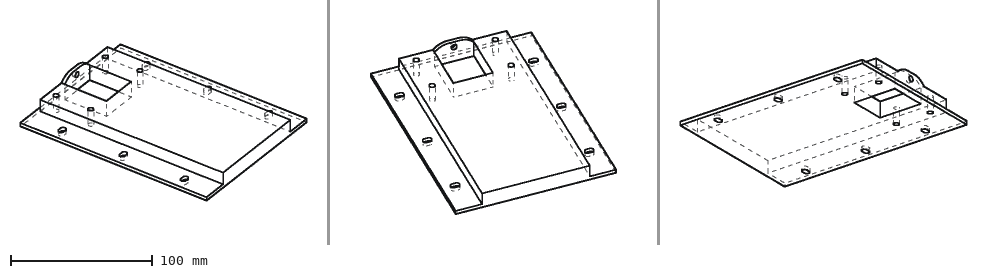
import cadquery as cq
import math

plate_length = 161.5
plate_width = 121.8
plate_thickness = 3.0

block_setback = 3.0
block_width = 81.8
block_height = 9.9
block_length = plate_length - block_setback
block_top = plate_thickness + block_height

wall_thickness = 3.0
opening_length = 36.0
opening_width = 30.0
opening_start = block_setback + wall_thickness

overall_height = 17.9
lug_height = overall_height - block_top
lug_arc_radius = 15.0

hole_diameter = 4.2
lug_hole_z = block_top
mount_hole_start = 9.0
mount_hole_pitch_x = 30.0
mount_hole_pitch_y = 60.0

slot_width = 4.2
slot_length = 6.7
slot_start = 29.25
slot_pitch_x = 53.0
slots_per_side = 3
slot_edge_distance = 10.0
slot_pitch_y = plate_width - 2 * slot_edge_distance


def box_from_left(start_x, start_z, length, width, height):
    """Box centred on Y that starts at the given X and Z."""
    return (
        cq.Workplane("XY")
        .box(length, width, height, centered=(False, True, False))
        .translate((start_x, 0, start_z))
    )


def make_lug():
    """Lug with a flat top that runs tangentially into an arc on each side."""
    half_width = opening_width / 2
    arc_run = math.sqrt(lug_arc_radius**2 - (lug_arc_radius - lug_height) ** 2)
    half_flat = half_width - arc_run
    return (
        cq.Workplane("YZ", origin=(block_setback, 0, 0))
        .moveTo(-half_width, plate_thickness)
        .lineTo(half_width, plate_thickness)
        .lineTo(half_width, block_top)
        .radiusArc((half_flat, overall_height), -lug_arc_radius)
        .lineTo(-half_flat, overall_height)
        .radiusArc((-half_width, block_top), -lug_arc_radius)
        .close()
        .extrude(wall_thickness)
    )


def make_lug_hole():
    """Cutter along X through the lug and end wall, ending in the opening."""
    return (
        cq.Workplane("YZ", origin=(block_setback, 0, 0))
        .center(0, lug_hole_z)
        .circle(hole_diameter / 2)
        .extrude(wall_thickness)
    )


def make_mount_holes():
    """Cutters for the four vertical holes around the opening."""
    pattern_center_x = mount_hole_start + mount_hole_pitch_x / 2
    return (
        cq.Workplane("XY")
        .center(pattern_center_x, 0)
        .rarray(mount_hole_pitch_x, mount_hole_pitch_y, 2, 2)
        .circle(hole_diameter / 2)
        .extrude(block_top)
    )


def make_slots():
    """Cutters for the slots in both side flanges."""
    pattern_center_x = slot_start + slot_pitch_x * (slots_per_side - 1) / 2
    return (
        cq.Workplane("XY")
        .center(pattern_center_x, 0)
        .rarray(slot_pitch_x, slot_pitch_y, slots_per_side, 2)
        .slot2D(slot_length, slot_width, 90)
        .extrude(plate_thickness)
    )


plate = box_from_left(0, 0, plate_length, plate_width, plate_thickness)
block = box_from_left(block_setback, plate_thickness, block_length, block_width, block_height)
opening = box_from_left(opening_start, 0, opening_length, opening_width, block_top)

body = plate.union(block).cut(opening).union(make_lug())
result = body.cut(make_lug_hole()).cut(make_mount_holes()).cut(make_slots())